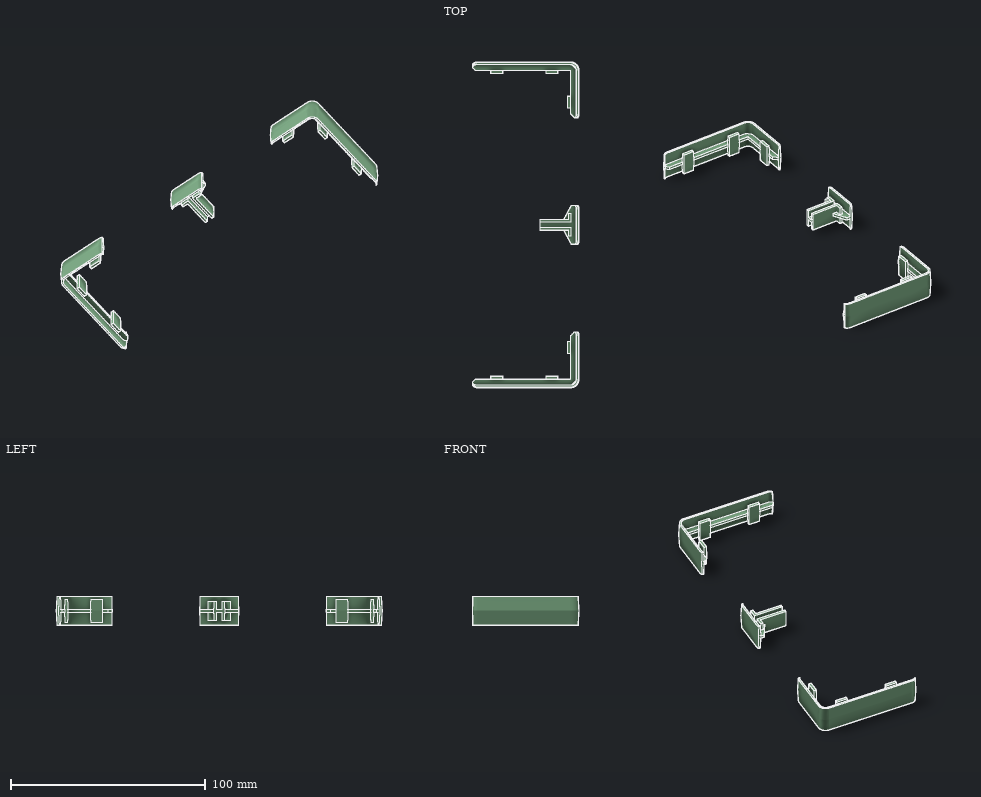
import cadquery as cq
import math

span_x = 55.0
span_y = 168.0
height = 15.0
half_height = height / 2
crest_x = span_x / 2
crest_y = span_y / 2
draft = 1.0

crest_depth = 0.42
wall_depth = 1.5
wall_draft = half_height * math.tan(math.radians(draft))
corner_radius = 4.5

outer_curl_radius = 4.0
inner_curl_radius = 2.7
outer_side_curl = 2.9
inner_side_curl = 2.2
outer_short_curl = 2.0
inner_short_curl = 1.7

rib_thickness = 1.5
rib_root = wall_depth / 2
rib_end_root = 1.7

trim_rib_depth = 4.5
side_rib_chamfer = 1.5
return_rib_chamfer = 2.2
return_end = 55.1
pad_width = 6.2
pad_height = 11.8
pad_thickness = 1.5
pad_overlap = 0.2
side_pad_places = (-15.0, 13.5)
return_pad_place = 63.2

clip_rib_depth = 4.0
clip_half_width = 10.0
clip_stem_end = 7.2
leg_height = 9.7
leg_thickness = 1.5
leg_gap = 2.7
foot_half_width = 5.9
gusset_length = 3.9


def drafted(outline, full_height):
    """Extrude a closed XY outline up and down from Z = 0 with draft."""
    upper = outline.extrude(full_height / 2, taper=draft)
    return upper.union(upper.mirror("XY"))


def box_outline(x_min, x_max, y_min, y_max):
    corners = [(x_min, y_min), (x_max, y_min), (x_max, y_max), (x_min, y_max)]
    return cq.Workplane("XY").polyline(corners).close()


def arc_outline(arcs, level):
    """Closed wire of arcs (center x, center y, radius, start, end angle) joined by straight lines."""
    edges = []
    joint = None
    for x, y, radius, start, end in arcs:
        points = []
        for angle in (start, (start + end) / 2, end):
            turn = math.radians(angle)
            points.append(cq.Vector(x + radius * math.cos(turn), y + radius * math.sin(turn), level))
        if joint is None:
            first_point = points[0]
        else:
            edges.append(cq.Edge.makeLine(joint, points[0]))
        edges.append(cq.Edge.makeThreePointArc(*points))
        joint = points[2]
    edges.append(cq.Edge.makeLine(joint, first_point))
    return cq.Wire.assembleEdges(edges)


def curl_angle(length, radius):
    """Degrees turned by an arc that starts along the wall and reaches `length` along it."""
    return math.degrees(math.asin(length / radius))


def ridged_wall(section_arcs):
    """Wall that narrows from its outline at Z = 0 to its outlines at top and bottom."""
    middle = arc_outline(section_arcs(0, 0), 0)
    top = arc_outline(section_arcs(crest_depth, wall_draft), half_height)
    upper = cq.Workplane(cq.Solid.makeLoft([middle, top], True))
    return upper.union(upper.mirror("XY"))


def trim_wall_arcs(setback, inset):
    """Wall of the -Y trim, with the outer face set back and the other faces inset."""
    outer_radius = outer_curl_radius - setback
    inner_radius = inner_curl_radius + inset
    outer_side_turn = curl_angle(outer_side_curl - inset, outer_radius)
    inner_side_turn = curl_angle(inner_side_curl - inset, inner_radius)
    outer_short_turn = curl_angle(outer_short_curl - inset, outer_radius)
    inner_short_turn = curl_angle(inner_short_curl - inset, inner_radius)
    outer_center = outer_curl_radius
    inner_center = wall_depth + inner_curl_radius
    corner = (crest_x - corner_radius, -crest_y + corner_radius)
    inner_corner_radius = corner_radius - wall_depth + inset
    return [
        (-crest_x + outer_side_curl, -crest_y + outer_center, outer_radius, 270 - outer_side_turn, 270),
        (*corner, corner_radius - setback, 270, 360),
        (crest_x - outer_center, -return_end - outer_short_curl, outer_radius, 0, outer_short_turn),
        (crest_x - inner_center, -return_end - inner_short_curl, inner_radius, inner_short_turn, 0),
        (*corner, inner_corner_radius, 360, 270),
        (-crest_x + inner_side_curl, -crest_y + inner_center, inner_radius, 270, 270 - inner_side_turn),
    ]


def clip_wall_arcs(setback, inset):
    """Wall of the centre clip, with the outer face set back and the other faces inset."""
    outer_radius = outer_curl_radius - setback
    inner_radius = inner_curl_radius + inset
    outer_turn = curl_angle(outer_short_curl - inset, outer_radius)
    inner_turn = curl_angle(inner_short_curl - inset, inner_radius)
    outer_x = crest_x - outer_curl_radius
    inner_x = crest_x - wall_depth - inner_curl_radius
    outer_y = clip_half_width - outer_short_curl
    inner_y = clip_half_width - inner_short_curl
    return [
        (outer_x, -outer_y, outer_radius, -outer_turn, 0),
        (outer_x, outer_y, outer_radius, 0, outer_turn),
        (inner_x, inner_y, inner_radius, inner_turn, 0),
        (inner_x, -inner_y, inner_radius, 0, -inner_turn),
    ]


def corner_trim(side):
    """L-shaped trim at the -Y (side = -1) or +Y (side = 1) end."""
    trim = ridged_wall(trim_wall_arcs)

    rib_x = crest_x - trim_rib_depth
    rib_y = -crest_y + trim_rib_depth
    rib = cq.Workplane("XY").polyline([
        (-crest_x, -crest_y + rib_end_root),
        (-crest_x + outer_side_curl, -crest_y + rib_root),
        (crest_x - corner_radius, -crest_y + rib_root),
        (crest_x - rib_root, -crest_y + corner_radius),
        (crest_x - rib_root, -return_end - outer_short_curl),
        (crest_x - rib_end_root, -return_end),
        (rib_x + return_rib_chamfer, -return_end),
        (rib_x, -return_end - return_rib_chamfer),
        (rib_x, rib_y),
        (-crest_x + side_rib_chamfer, rib_y),
        (-crest_x, rib_y - side_rib_chamfer),
    ]).close()
    trim = trim.union(drafted(rib, rib_thickness))

    half_pad = pad_width / 2
    pads = [
        box_outline(place - half_pad, place + half_pad, rib_y - pad_overlap, rib_y + pad_thickness)
        for place in side_pad_places
    ]
    pads.append(box_outline(
        rib_x - pad_thickness,
        rib_x + pad_overlap,
        -return_pad_place - half_pad,
        -return_pad_place + half_pad,
    ))
    for pad in pads:
        trim = trim.union(drafted(pad, pad_height))
    return trim if side < 0 else trim.mirror("XZ")


def center_clip():
    """Ridged plate with a gusseted rib that carries a stem of two L-shaped legs."""
    clip = ridged_wall(clip_wall_arcs)

    rib_x = crest_x - clip_rib_depth
    inner_y = leg_gap / 2
    outer_y = inner_y + leg_thickness
    upper_rib_edge = [
        (crest_x - rib_root, clip_half_width - outer_short_curl),
        (crest_x - rib_end_root, clip_half_width),
        (rib_x, clip_half_width),
        (rib_x - gusset_length, outer_y),
        (clip_stem_end, outer_y),
    ]
    lower_rib_edge = [(x, -y) for x, y in reversed(upper_rib_edge)]
    rib = cq.Workplane("XY").polyline(upper_rib_edge + lower_rib_edge).close()
    clip = clip.union(drafted(rib, rib_thickness))

    for side in (-1, 1):
        leg = cq.Workplane("XY").polyline([
            (clip_stem_end, side * inner_y),
            (rib_x, side * inner_y),
            (rib_x, side * foot_half_width),
            (rib_x - leg_thickness, side * foot_half_width),
            (rib_x - leg_thickness, side * outer_y),
            (clip_stem_end, side * outer_y),
        ]).close()
        clip = clip.union(drafted(leg, leg_height))
    return clip


corner_trims = [corner_trim(side) for side in (-1, 1)]
clip = center_clip()

result = cq.Compound.makeCompound([*[trim.val() for trim in corner_trims], clip.val()])